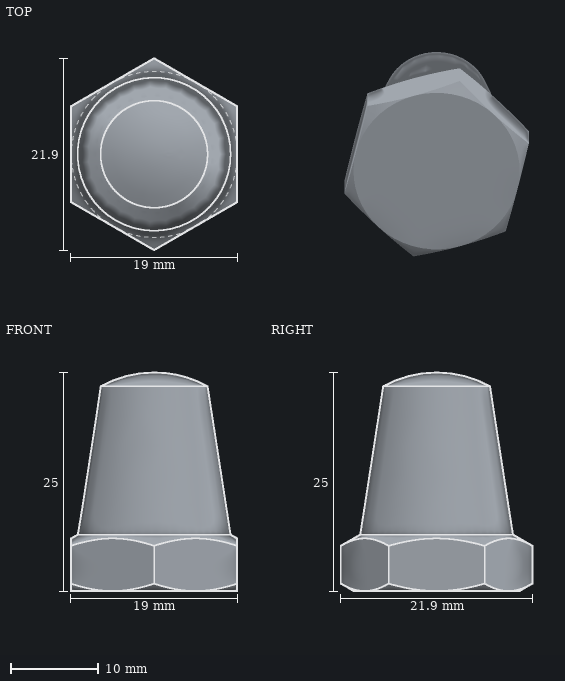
import cadquery as cq
import math

height = 25.0
across_flats = 19.0
hex_height = 6.45
base_radius = 8.75
tip_radius = 6.12
dome_height = 1.6
chamfer_angle = 30.0

across_corners = across_flats / math.cos(math.radians(30))
corner_radius = across_corners / 2
flat_radius = across_flats / 2
chamfer_slope = math.tan(math.radians(chamfer_angle))
top_drop = (corner_radius - base_radius) * chamfer_slope
bottom_rise = (corner_radius - flat_radius) * chamfer_slope
shoulder_height = height - dome_height


def make_hex_base():
    """Hexagon with corners on Y, its corners turned off conically at both ends."""
    prism = (
        cq.Workplane("XY")
        .polygon(6, across_corners)
        .extrude(hex_height)
        .rotate((0, 0, 0), (0, 0, 1), 30)
    )
    turned_envelope = (
        cq.Workplane("XZ")
        .lineTo(flat_radius, 0)
        .lineTo(corner_radius, bottom_rise)
        .lineTo(corner_radius, hex_height - top_drop)
        .lineTo(base_radius, hex_height)
        .lineTo(0, hex_height)
        .close()
        .revolve(360, (0, 0, 0), (0, 1, 0))
    )
    return prism.intersect(turned_envelope)


def make_domed_cone():
    """Tapered body closed by a spherical cap."""
    sphere_radius = (tip_radius**2 + dome_height**2) / (2 * dome_height)
    mid_radius = tip_radius / 2
    sphere_center = height - sphere_radius
    mid_height = sphere_center + math.sqrt(sphere_radius**2 - mid_radius**2)
    return (
        cq.Workplane("XZ")
        .moveTo(0, hex_height)
        .lineTo(base_radius, hex_height)
        .lineTo(tip_radius, shoulder_height)
        .threePointArc((mid_radius, mid_height), (0, height))
        .close()
        .revolve(360, (0, 0, 0), (0, 1, 0))
    )


result = make_hex_base().union(make_domed_cone())